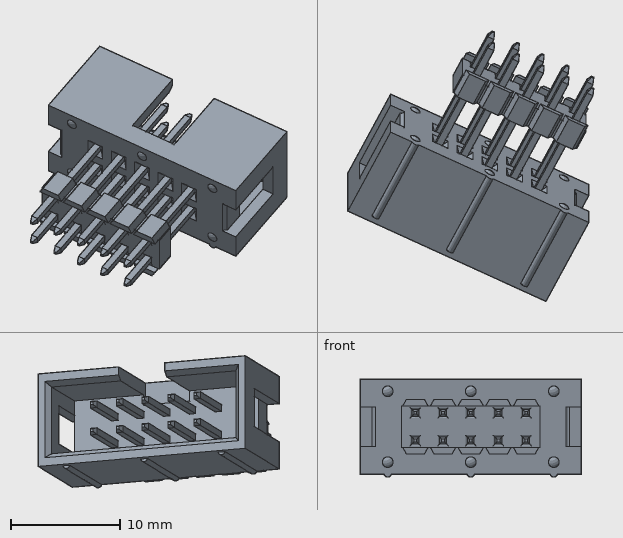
import cadquery as cq


PITCH = 2.54
COLUMNS = 5
ROWS = 2

HOUSING_WIDTH = 20.3
HOUSING_DEPTH = 8.83
HOUSING_HEIGHT = 8.73
SIDE_WALL = 1.12
FLAT_WALL = 1.22
FRONT_WALL = 2.4
MOUTH_CHAMFER_DEPTH = 0.53
MOUTH_CHAMFER_WIDTH = 0.45
KEY_SLOT_WIDTH = 4.5
KEY_SLOT_FRONT = 1.95
WINDOW_HEIGHT = 3.6
WINDOW_BACK = 6.44
WINDOW_EDGE_RADIUS = 0.3

BUMP_SPACING = 3 * PITCH
DOME_DIAMETER = 0.97
DOME_HEIGHT = 0.18
DOME_Z = 3.25
RIB_WIDTH = 0.7
RIB_HEIGHT = 0.26
RIB_LENGTH = 8.25

PIN_SIZE = 0.63
PIN_BACK = 8.39
PIN_FRONT = -10.97
PIN_TIP_LENGTH = 0.53
PIN_TIP_SIZE = 0.25
FUNNEL_SIZE = 1.6
FUNNEL_DEPTH = 0.53

STRIP_BACK = -5.15
STRIP_DEPTH = 1.95
STRIP_WIDTH = COLUMNS * PITCH
STRIP_HEIGHT = 3.8
STRIP_EDGE_RADIUS = 0.2
FLANGE_DEPTH = 2.54
FLANGE_HEIGHT = 0.6
FLANGE_BASE = 2.34
FLANGE_TOP = 1.65

COLUMN_X = [(i - (COLUMNS - 1) / 2) * PITCH for i in range(COLUMNS)]
ROW_Z = [(i - (ROWS - 1) / 2) * PITCH for i in range(ROWS)]
PIN_PLACES = [(x, z) for x in COLUMN_X for z in ROW_Z]
BUMP_X = [-BUMP_SPACING, 0, BUMP_SPACING]


def block(x_size, z_size, y_front, y_back, x=0, z=0):
    """Box centred on (x, z) that runs from y_front to y_back."""
    centre = (x, (y_front + y_back) / 2, z)
    return cq.Workplane("XY").box(x_size, y_back - y_front, z_size).translate(centre)


def taper(front_size, back_size, y_front, y_back, x=0, z=0):
    """Four-sided frustum along Y between two (x size, z size) rectangles."""
    plane = cq.Plane(origin=(x, y_back, z), xDir=(1, 0, 0), normal=(0, -1, 0))
    return (
        cq.Workplane(plane)
        .rect(*back_size)
        .workplane(offset=y_back - y_front)
        .rect(*front_size)
        .loft(combine=True)
    )


def cavity():
    """Space behind the front wall, with a bevelled mouth."""
    width = HOUSING_WIDTH - 2 * SIDE_WALL
    height = HOUSING_HEIGHT - 2 * FLAT_WALL
    mouth = (width + 2 * MOUTH_CHAMFER_WIDTH, height + 2 * MOUTH_CHAMFER_WIDTH)
    bevel = taper((width, height), mouth, HOUSING_DEPTH - MOUTH_CHAMFER_DEPTH, HOUSING_DEPTH)
    return block(width, height, FRONT_WALL, HOUSING_DEPTH).union(bevel)


def key_slot():
    """Polarising slot through the top wall, open at the back."""
    return block(KEY_SLOT_WIDTH, HOUSING_HEIGHT / 2, KEY_SLOT_FRONT, HOUSING_DEPTH, z=HOUSING_HEIGHT / 2)


def side_window(side):
    """Latch window in one side wall, open at the front, with a rounded inner edge."""
    r = WINDOW_EDGE_RADIUS
    inner_x = HOUSING_WIDTH / 2 - SIDE_WALL
    profile = (
        cq.Workplane("XY")
        .moveTo(side * HOUSING_WIDTH / 2, 0)
        .lineTo(side * (inner_x - r), 0)
        .radiusArc((side * inner_x, r), side * r)
        .lineTo(side * inner_x, WINDOW_BACK)
        .lineTo(side * HOUSING_WIDTH / 2, WINDOW_BACK)
        .close()
    )
    return profile.extrude(WINDOW_HEIGHT / 2, both=True)


def pin_hole(x, z):
    """Hole through the front wall that fits a pin, with a funnel at the front."""
    hole = block(PIN_SIZE, PIN_SIZE, 0, FRONT_WALL, x, z)
    funnel = taper((FUNNEL_SIZE, FUNNEL_SIZE), (PIN_SIZE, PIN_SIZE), 0, FUNNEL_DEPTH, x, z)
    return hole.union(funnel)


def bump_radius(width, height):
    """Radius of the circle with a segment of the given width and height."""
    return ((width / 2) ** 2 + height**2) / (2 * height)


def dome(x, z):
    """Ball whose cap stands out of the front face."""
    radius = bump_radius(DOME_DIAMETER, DOME_HEIGHT)
    return cq.Workplane("XY").sphere(radius).translate((x, radius - DOME_HEIGHT, z))


def rib(x):
    """Round bar whose underside stands out of the bottom face."""
    radius = bump_radius(RIB_WIDTH, RIB_HEIGHT)
    centre_z = radius - RIB_HEIGHT - HOUSING_HEIGHT / 2
    return cq.Workplane("XZ").center(x, centre_z).circle(radius).extrude(-RIB_LENGTH)


def make_housing():
    housing = block(HOUSING_WIDTH, HOUSING_HEIGHT, 0, HOUSING_DEPTH)
    for x in BUMP_X:
        housing = housing.union(rib(x))
        for z in (-DOME_Z, DOME_Z):
            housing = housing.union(dome(x, z))
    housing = housing.cut(cavity()).cut(key_slot())
    for side in (-1, 1):
        housing = housing.cut(side_window(side))
    for x, z in PIN_PLACES:
        housing = housing.cut(pin_hole(x, z))
    return housing


def pin(x, z):
    """Square pin with a pointed tip at both ends."""
    full = (PIN_SIZE, PIN_SIZE)
    tip = (PIN_TIP_SIZE, PIN_TIP_SIZE)
    shank_front = PIN_FRONT + PIN_TIP_LENGTH
    shank_back = PIN_BACK - PIN_TIP_LENGTH
    shank = block(PIN_SIZE, PIN_SIZE, shank_front, shank_back, x, z)
    front_tip = taper(tip, full, PIN_FRONT, shank_front, x, z)
    back_tip = taper(full, tip, shank_back, PIN_BACK, x, z)
    return shank.union(front_tip).union(back_tip)


def strip_core():
    """Bar across all pins, with holes whose front edges are rounded."""
    core = block(STRIP_WIDTH, STRIP_HEIGHT, STRIP_BACK - STRIP_DEPTH, STRIP_BACK)
    front_holes = core.faces("<Y").workplane(centerOption="CenterOfBoundBox")
    core = front_holes.pushPoints(PIN_PLACES).rect(PIN_SIZE, PIN_SIZE).cutThruAll()
    hole_edges = [edge for wire in core.faces("<Y").val().innerWires() for edge in wire.Edges()]
    return core.newObject(hole_edges).fillet(STRIP_EDGE_RADIUS)


def flange(x, side):
    """Trapezoidal block of one column, above (side = 1) or below (side = -1) the core."""
    base_z = side * STRIP_HEIGHT / 2
    top_z = base_z + side * FLANGE_HEIGHT
    outline = [
        (x - FLANGE_BASE / 2, base_z),
        (x - FLANGE_TOP / 2, top_z),
        (x + FLANGE_TOP / 2, top_z),
        (x + FLANGE_BASE / 2, base_z),
    ]
    return cq.Workplane("XZ", origin=(0, STRIP_BACK, 0)).polyline(outline).close().extrude(FLANGE_DEPTH)


def make_pin_header():
    header = strip_core()
    for x in COLUMN_X:
        for side in (-1, 1):
            header = header.union(flange(x, side))
    for x, z in PIN_PLACES:
        header = header.union(pin(x, z))
    return header


housing = make_housing()
pin_header = make_pin_header()

result = cq.Compound.makeCompound([housing.solids().val(), pin_header.solids().val()])